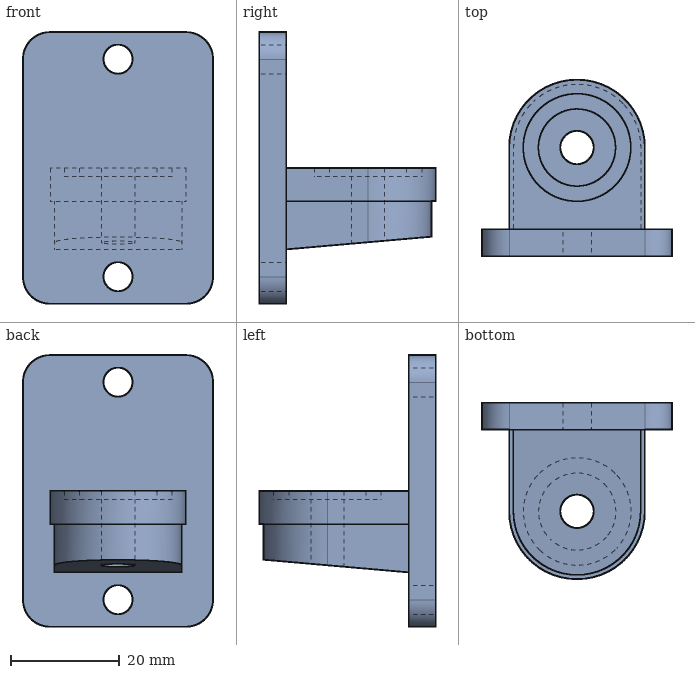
import cadquery as cq
import math

plate_width = 35.0
plate_height = 50.0
plate_thickness = 5.0
corner_radius = 5.0
screw_hole_diameter = 5.3
screw_hole_spacing = 40.0

pivot_y = 20.0
arm_radius = 12.5
collar_height = 6.1
lower_radius = 11.7
arm_root_height = 15.0
underside_angle = 5.0

seat_diameter = 19.8
seat_depth = 1.5
boss_diameter = 14.2
boss_height = 1.5
pivot_hole_diameter = 6.1


def make_plate():
    """Upright plate with rounded corners and two screw holes."""
    blank = cq.Workplane("XY").box(
        plate_width, plate_thickness, plate_height, centered=(True, False, True)
    )
    holes = (
        cq.Workplane("XZ")
        .pushPoints([(0, -screw_hole_spacing / 2), (0, screw_hole_spacing / 2)])
        .circle(screw_hole_diameter / 2)
        .extrude(-plate_thickness)
    )
    return blank.edges("|Y").fillet(corner_radius).cut(holes)


def round_ended_bar(radius, height):
    """Bar from the plate to a round end about the pivot, going down from Z = 0."""
    return (
        cq.Workplane("XY")
        .moveTo(-radius, plate_thickness)
        .lineTo(-radius, pivot_y)
        .threePointArc((0, pivot_y + radius), (radius, pivot_y))
        .lineTo(radius, plate_thickness)
        .close()
        .extrude(-height)
    )


def make_arm():
    """Collar on a slightly narrower body whose underside rises away from the plate."""
    reach = pivot_y + lower_radius - plate_thickness
    arm_tip_height = arm_root_height - reach * math.tan(math.radians(underside_angle))
    side_profile = (
        cq.Workplane("YZ")
        .moveTo(plate_thickness, 0)
        .lineTo(plate_thickness, -arm_root_height)
        .lineTo(plate_thickness + reach, -arm_tip_height)
        .lineTo(plate_thickness + reach, 0)
        .close()
        .extrude(arm_radius, both=True)
    )
    body = round_ended_bar(lower_radius, arm_root_height).intersect(side_profile)
    return body.union(round_ended_bar(arm_radius, collar_height))


def pivot_cylinder(diameter, bottom, height):
    """Vertical cylinder on the pivot axis."""
    return (
        cq.Workplane("XY", origin=(0, pivot_y, bottom))
        .circle(diameter / 2)
        .extrude(height)
    )


seat = pivot_cylinder(seat_diameter, -seat_depth, seat_depth)
boss = pivot_cylinder(boss_diameter, -seat_depth, boss_height)
pivot_hole = pivot_cylinder(pivot_hole_diameter, -arm_root_height, arm_root_height)

result = make_plate().union(make_arm()).cut(seat).union(boss).cut(pivot_hole)